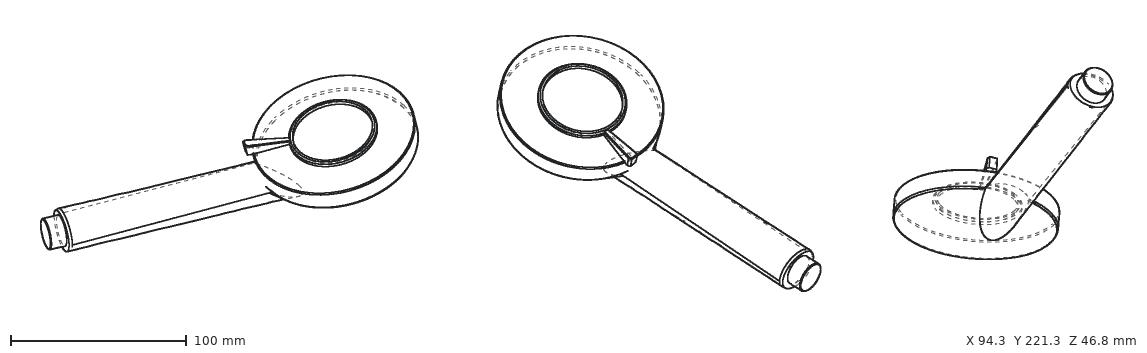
import cadquery as cq
import math


spigot_radius = 18.24 / 2
spigot_length = 9.6
spigot_chamfer = 0.5
collar_length = 1.8
collar_setback = 0.6

handle_start_y = spigot_length + collar_length
tail_half_width = 13.9
tail_crease_z = 0.2
tail_top_z = 11.45
tail_bottom_z = -11.13
neck_half_width = 13.6
neck_top_z = 10.3
heel_y = 154.2
heel_z = -10.5
handle_overrun = 6.0
neck_fillet = 1.0
transition_steps = 24

head_tilt = 11.0
head_radius = 94.32 / 2
head_thickness = 12.1
head_top_chamfer = 0.7
bevel_width = 0.7
bevel_height = 1.2
head_center_y = 175.27
head_center_z = 14.3
back_radius = head_radius - bevel_width

ring_height = 2.8
ring_radius = 25.5
ring_chamfer = 1.0
recess_radius = 46.25 / 2
recess_depth = 2.3

lever_tip_y = -49.4
lever_root_y = -23.8
lever_tip_left, lever_tip_right = -14.4, -8.2
lever_root_left, lever_root_right = -8.2, -4.8
lever_root_height = 2.3
lever_corner_width = 0.8
lever_corner_length = 1.8
lever_edge_chamfer = 0.5

tilt_cos = math.cos(math.radians(head_tilt))
tilt_sin = math.sin(math.radians(head_tilt))


def head_point(x, along, above):
    """Part coordinates of a point given in the tilted frame of the head's back plane."""
    y = head_center_y + along * tilt_cos - above * tilt_sin
    z = head_center_z + along * tilt_sin + above * tilt_cos
    return cq.Vector(x, y, z)


def place_on_head(body):
    tilted = body.rotate((0, 0, 0), (1, 0, 0), head_tilt)
    return tilted.translate((0, head_center_y, head_center_z))


neck = head_point(0, -back_radius, 0)
heel = cq.Vector(0, heel_y, heel_z)


def make_drum():
    drum = cq.Workplane("XY").circle(head_radius).extrude(head_thickness)
    drum = drum.faces(">Z").chamfer(head_top_chamfer)
    return drum.faces("<Z").chamfer(bevel_height, bevel_width)


def make_ring():
    profile = [
        (0, 0),
        (ring_radius, 0),
        (ring_radius, ring_height - ring_chamfer),
        (ring_radius - ring_chamfer, ring_height),
        (recess_radius, ring_height),
        (recess_radius, ring_height - recess_depth),
        (0, ring_height - recess_depth),
    ]
    ring = cq.Workplane("XZ").polyline(profile).close().revolve(360, (0, 0, 0), (0, 1, 0))
    return ring.translate((0, 0, head_thickness))


def make_lever():
    """Wedge from the ring past the rim; its top is level once the head is tilted."""
    tip_height = lever_root_height + (lever_root_y - lever_tip_y) * math.tan(math.radians(head_tilt))
    side = [
        (lever_root_y, 0),
        (lever_tip_y, 0),
        (lever_tip_y, tip_height),
        (lever_root_y, lever_root_height),
    ]
    plan = [
        (lever_root_left, lever_root_y),
        (lever_tip_left, lever_tip_y + lever_corner_length),
        (lever_tip_left + lever_corner_width, lever_tip_y),
        (lever_tip_right - lever_corner_width, lever_tip_y),
        (lever_tip_right, lever_tip_y + lever_corner_length),
        (lever_root_right, lever_root_y),
    ]
    lever = cq.Workplane("XY").polyline(plan).close().extrude(tip_height)
    wedge = cq.Workplane("YZ").polyline(side).close().extrude(head_radius, both=True)
    lever = lever.intersect(wedge)
    level = cq.Vector(0, tilt_sin, tilt_cos)
    top_face = lever.faces(cq.selectors.DirectionMinMaxSelector(level, True))
    lever = top_face.edges("not >Y").chamfer(lever_edge_chamfer)
    return lever.translate((0, 0, head_thickness))


def make_transition():
    """Developable shell from the head's back circle to the slanted end of the handle.

    The handle end is a half ellipse. The tangent at each of its points meets the neck line,
    and the tangent to the back circle from there touches it at the matching circle point.
    """
    steps = transition_steps
    circle_points = []
    ellipse_points = []
    for i in range(steps + 1):
        angle = math.pi * i / steps
        turn = 2 * math.atan2(neck_half_width, back_radius * math.cos(angle))
        circle_points.append(head_point(back_radius * math.sin(turn), -back_radius * math.cos(turn), 0))
        side = cq.Vector(neck_half_width * math.cos(angle), 0, 0)
        ellipse_points.append(neck + side + (heel - neck) * math.sin(angle))
    parameters = [i / steps for i in range(steps + 1)]
    circle_edge = cq.Edge.makeSpline(circle_points, parameters=parameters)
    ellipse_edge = cq.Edge.makeSpline(ellipse_points, parameters=parameters)
    neck_edge = cq.Edge.makeLine(ellipse_points[-1], ellipse_points[0])
    right_edge = cq.Edge.makeLine(ellipse_points[0], circle_points[0])
    left_edge = cq.Edge.makeLine(circle_points[-1], ellipse_points[-1])
    skin = cq.Face.makeRuledSurface(circle_edge, ellipse_edge)
    back = cq.Face.makeFromWires(cq.Wire.assembleEdges([right_edge, circle_edge, left_edge, neck_edge]))
    end = cq.Face.makeFromWires(cq.Wire.assembleEdges([ellipse_edge, neck_edge]))
    return cq.Workplane(cq.Solid.makeSolid(cq.Shell.makeShell([skin, back, end])).fix())


def extend(start_y, start, end_y, end, y):
    """Value at y on the straight line through (start_y, start) and (end_y, end)."""
    return start + (end - start) * (y - start_y) / (end_y - start_y)


def handle_section(y, setback=0.0):
    """Closed outline of the handle at y, drawn inwards by setback."""
    half_width = extend(handle_start_y, tail_half_width, neck.y, neck_half_width, y) - setback
    crease_z = extend(handle_start_y, tail_crease_z, neck.y, neck.z, y)
    top = extend(handle_start_y, tail_top_z, neck.y, neck_top_z, y) - setback - crease_z
    bottom = crease_z + setback - extend(handle_start_y, tail_bottom_z, heel_y, heel_z, y)
    return (
        cq.Workplane("XZ", origin=(0, y, crease_z))
        .moveTo(half_width, 0)
        .ellipseArc(half_width, top, 0, 180, startAtCurrent=True)
        .ellipseArc(half_width, bottom, 180, 360, startAtCurrent=True)
        .close()
        .val()
    )


def make_handle():
    far_y = heel_y + handle_overrun
    sections = [handle_section(handle_start_y), handle_section(far_y)]
    handle = cq.Workplane(cq.Solid.makeLoft(sections, True))
    below_heel = heel + (heel - neck)
    back_far = head_point(0, back_radius, 0)
    trim = [
        (neck.y, neck.z),
        (back_far.y, back_far.z),
        (back_far.y, below_heel.z),
        (below_heel.y, below_heel.z),
    ]
    cutter = cq.Workplane("YZ").polyline(trim).close().extrude(head_radius, both=True)
    return handle.cut(cutter)


def make_collar():
    sections = [handle_section(spigot_length, collar_setback), handle_section(handle_start_y)]
    return cq.Workplane(cq.Solid.makeLoft(sections, True))


def make_spigot():
    spigot = cq.Workplane("XZ").circle(spigot_radius).extrude(-handle_start_y)
    return spigot.faces("<Y").chamfer(spigot_chamfer)


def join_handle_to_drum():
    """Handle and drum as one body, with a fillet where the handle top meets the drum wall."""
    joined = make_handle().union(place_on_head(make_drum()))
    saddle_center = head_point(0, -head_radius, (head_thickness + bevel_height) / 2)
    saddle = joined.edges(cq.selectors.NearestToPointSelector(saddle_center.toTuple()))
    return saddle.fillet(neck_fillet)


selector = make_ring().union(make_lever())
result = join_handle_to_drum().union(make_collar()).union(make_spigot())
result = result.union(make_transition()).union(place_on_head(selector))